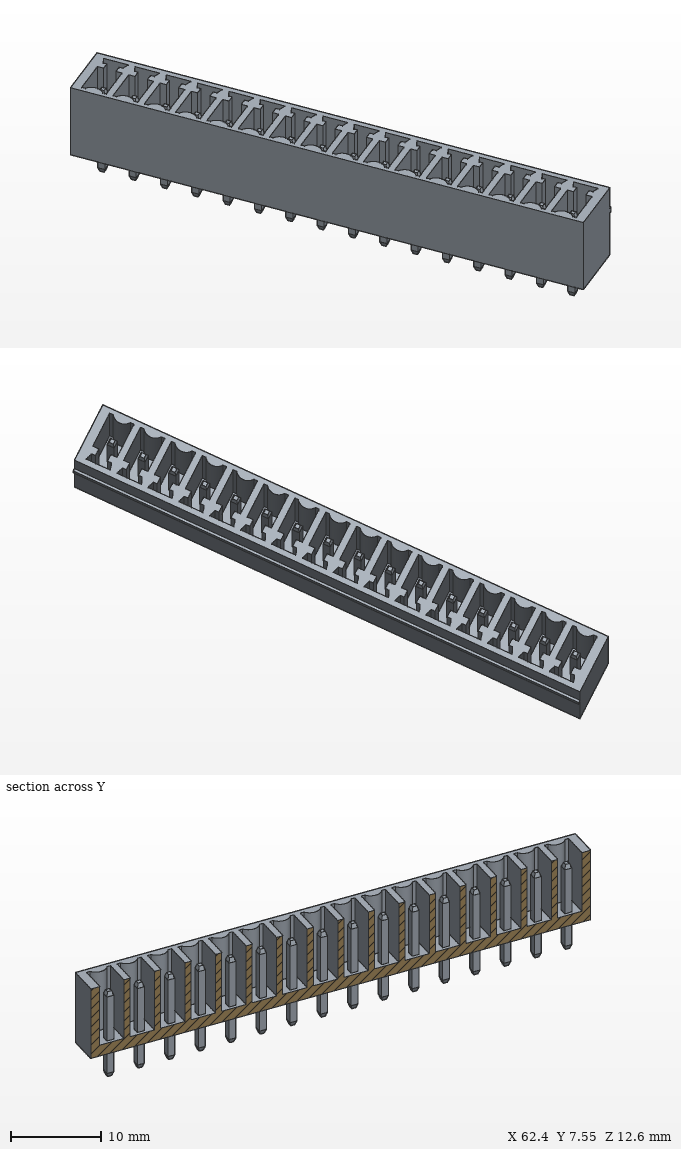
import cadquery as cq

body_length = 62.35
body_depth = 7.25
body_height = 9.2
floor_thickness = 1.5

position_count = 16
end_margin = 2.6
pitch = (body_length - 2 * end_margin) / (position_count - 1)

pocket_width = 3.0
pocket_front = 0.55
chamber_back = 4.85
neck_width = 1.5
keyway_front = 5.75
keyway_back = 6.55
keyway_front_width = 2.45
bump_width = 2.1
bump_height = 0.55

pin_y = 3.0
pin_width = 0.9
pin_tip_width = 0.5
pin_taper = 0.55
pin_below_body = 3.35
pin_below_rim = 1.4

ridge_height = 0.6
ridge_projection = 0.3
ridge_below_rim = 3.2


def make_pocket():
    """Solid with the shape of one pocket, centred on X = 0."""
    half_pocket = pocket_width / 2
    half_neck = neck_width / 2
    half_keyway = keyway_front_width / 2
    half_bump = bump_width / 2
    return (
        cq.Workplane("XY", origin=(0, 0, floor_thickness))
        .moveTo(-half_pocket, pocket_front)
        .lineTo(-half_bump, pocket_front)
        .threePointArc((0, pocket_front + bump_height), (half_bump, pocket_front))
        .lineTo(half_pocket, pocket_front)
        .lineTo(half_pocket, chamber_back)
        .lineTo(half_neck, chamber_back)
        .lineTo(half_neck, keyway_front)
        .lineTo(half_keyway, keyway_front)
        .lineTo(half_pocket, keyway_back)
        .lineTo(-half_pocket, keyway_back)
        .lineTo(-half_keyway, keyway_front)
        .lineTo(-half_neck, keyway_front)
        .lineTo(-half_neck, chamber_back)
        .lineTo(-half_pocket, chamber_back)
        .close()
        .extrude(body_height - floor_thickness)
    )


def make_pin_tip(base_z, tip_z):
    """Tapered pin end running from the full section to the tip."""
    return (
        cq.Workplane("XY", origin=(0, pin_y, base_z))
        .rect(pin_width, pin_width)
        .workplane(offset=tip_z - base_z)
        .rect(pin_tip_width, pin_tip_width)
        .loft(ruled=True)
    )


def make_pin():
    """One contact pin, centred on X = 0."""
    bottom = -pin_below_body
    top = body_height - pin_below_rim
    shaft_bottom = bottom + pin_taper
    shaft_top = top - pin_taper
    shaft = (
        cq.Workplane("XY", origin=(0, pin_y, shaft_bottom))
        .rect(pin_width, pin_width)
        .extrude(shaft_top - shaft_bottom)
    )
    return shaft.union(make_pin_tip(shaft_bottom, bottom)).union(make_pin_tip(shaft_top, top))


def make_housing():
    """Plain block with the ridge on its back face."""
    block = cq.Workplane("XY").box(
        body_length, body_depth, body_height, centered=(True, False, False)
    )
    ridge = (
        cq.Workplane("XY", origin=(0, body_depth, body_height - ridge_below_rim))
        .box(body_length, ridge_projection, ridge_height, centered=(True, False, True))
    )
    return block.union(ridge)


first_x = end_margin - body_length / 2
position_xs = [first_x + i * pitch for i in range(position_count)]

pocket = make_pocket()
pin = make_pin()
result = make_housing()
for x in position_xs:
    result = result.cut(pocket.translate((x, 0, 0)))
for x in position_xs:
    result = result.union(pin.translate((x, 0, 0)))